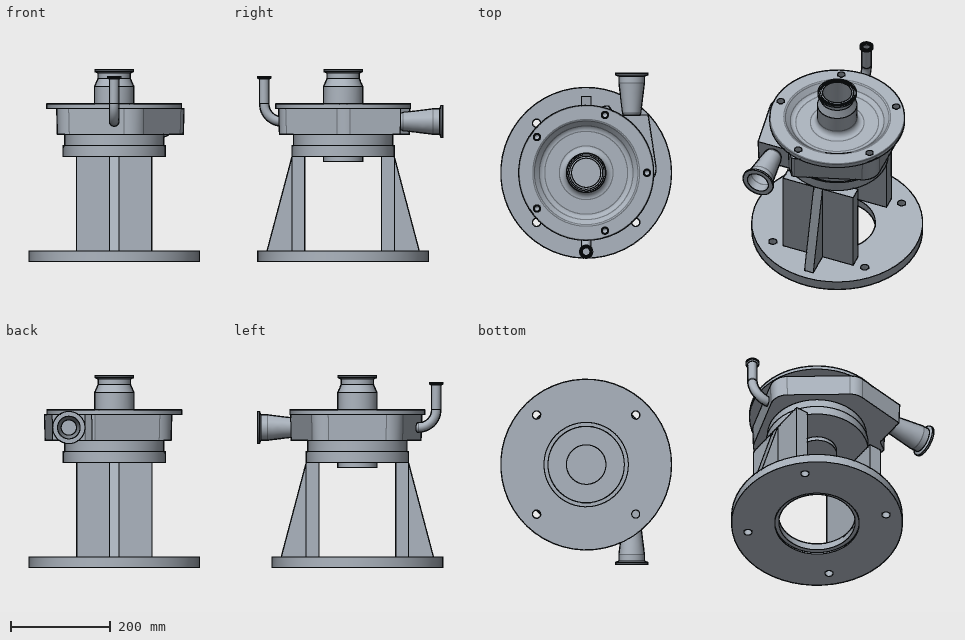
import cadquery as cq
import math

BASE_RADIUS = 171.5
BASE_THICKNESS = 21.5
BASE_BORE_RADIUS = 76.5
BASE_RECESS_RADIUS = 84.7
BASE_RECESS_DEPTH = 4.2
ANCHOR_COUNT = 4
ANCHOR_START_ANGLE = 45
ANCHOR_CIRCLE_RADIUS = 140.5
ANCHOR_HOLE_RADIUS = 8.0
LEG_WIDTH = 151.3
LEG_THICKNESS = 26.0
RIB_THICKNESS = 19.0
RIB_REACH = 50.0

COLLAR_BOTTOM = 210.5
COLLAR_TOP = 232.5
COLLAR_RADIUS = 102.8
NECK_RADIUS = 99.7
HUB_RADIUS = 39.5
HUB_DROP = 10.0

CASING_BOTTOM = 255.3
CASING_TOP = 307.0
CASING_APOTHEM = 115.5
CASING_CORNER_RADIUS = 35.0
CASING_TAPER = 1.5
CASING_NIB_Y = 134.0
SHOULDER_Y = 115.5
SHOULDER_X = 124.7
SHOULDER_SIDE_ANGLE = 8.5

COVER_TOP = 317.0
COVER_RADIUS = 135.5
COVER_EDGE_FILLET = 1.0
DISH_FLOOR_RADIUS = 83.0
DISH_FLOOR_FILLET = 15.5
DISH_WALL_ANGLE = 45
DISH_WALL_TOP_RADIUS = 104.0
DISH_RIM_FILLET = 4.5
COVER_HOLE_COUNT = 5
COVER_HOLE_CIRCLE_RADIUS = 122.0
COVER_HOLE_RADIUS = 7.5
COVER_HOLE_DEPTH = 15.5
COVER_PILOT_RADIUS = 5.5
COVER_PILOT_DEPTH = 19.2
COVER_PILOT_TIP_ANGLE = 30

NOZZLE_TOP = 385.0
NOZZLE_RADIUS = 39.5
NOZZLE_FOOT_FILLET = 14.2
NOZZLE_REDUCER_BOTTOM = 351.0
NOZZLE_REDUCER_TOP = 367.0
NOZZLE_NECK_RADIUS = 32.7
NOZZLE_BORE_RADIUS = 29.3
NOZZLE_FERRULE_RADIUS = 39.0
NOZZLE_GROOVE_INNER = 33.0
NOZZLE_GROOVE_OUTER = 36.0

DISCHARGE_X = 91.2
DISCHARGE_END_Y = 200.0
DISCHARGE_RADIUS = 25.8
DISCHARGE_CONE_START_Y = 120.0
DISCHARGE_CONE_END_Y = 180.0
DISCHARGE_CONE_RADIUS = 18.5
DISCHARGE_ROOT_RADIUS = 16.5
DISCHARGE_WALL = 3.0
DISCHARGE_FERRULE_RADIUS = 32.5

TUBE_Y = -158.2
TUBE_TOP = 371.0
TUBE_RADIUS = 9.5
TUBE_BORE_RADIUS = 7.7
TUBE_BEND_RADIUS = 35.8
TUBE_FERRULE_RADIUS = 13.3
TUBE_ROOT_Y = -107.8
TUBE_GROOVE_INNER = 9.2
TUBE_GROOVE_OUTER = 11.0

FERRULE_RIM = 4.0
FERRULE_TAPER = 2.7
TUBE_FERRULE_RIM = 3.0
TUBE_FERRULE_TAPER = 2.0
GASKET_GROOVE_DEPTH = 1.0

CASING_MID = (CASING_BOTTOM + CASING_TOP) / 2


def arc_step(radius, angle):
    """Radial and axial travel along an arc that starts out level and turns by the given angle."""
    turn = math.radians(angle)
    return radius * math.sin(turn), radius * (1 - math.cos(turn))


RIM_RUN, RIM_DROP = arc_step(DISH_RIM_FILLET, DISH_WALL_ANGLE)
FLOOR_RUN, FLOOR_RISE = arc_step(DISH_FLOOR_FILLET, DISH_WALL_ANGLE)
WALL_RUN = DISH_WALL_TOP_RADIUS - DISH_FLOOR_RADIUS - FLOOR_RUN
WALL_DROP = WALL_RUN * math.tan(math.radians(DISH_WALL_ANGLE))
DISH_RIM_RADIUS = DISH_WALL_TOP_RADIUS + RIM_RUN
DISH_FLOOR = COVER_TOP - RIM_DROP - WALL_DROP - FLOOR_RISE


def cylinder(radius, bottom, top):
    return cq.Workplane("XY", origin=(0, 0, bottom)).circle(radius).extrude(top - bottom)


def facet_point_at_y(facet_angle, y):
    """Point at the given y on the pentagon side whose normal has the given angle."""
    angle = math.radians(facet_angle)
    return ((CASING_APOTHEM - y * math.sin(angle)) / math.cos(angle), y)


def pentagon_corner(angle):
    reach = CASING_APOTHEM / math.cos(math.radians(36))
    return (reach * math.cos(math.radians(angle)), reach * math.sin(math.radians(angle)))


def make_stand():
    stand = cylinder(BASE_RADIUS, 0, BASE_THICKNESS)
    stand = stand.cut(cylinder(BASE_BORE_RADIUS, 0, BASE_THICKNESS))
    stand = stand.cut(cylinder(BASE_RECESS_RADIUS, 0, BASE_RECESS_DEPTH))
    anchors = (
        cq.Workplane("XY")
        .polarArray(ANCHOR_CIRCLE_RADIUS, ANCHOR_START_ANGLE, 360, ANCHOR_COUNT)
        .circle(ANCHOR_HOLE_RADIUS)
        .extrude(BASE_THICKNESS)
    )
    stand = stand.cut(anchors)

    height = COLLAR_BOTTOM - BASE_THICKNESS
    leg = (
        cq.Workplane("XY", origin=(0, COLLAR_RADIUS - LEG_THICKNESS / 2, BASE_THICKNESS))
        .rect(LEG_WIDTH, LEG_THICKNESS)
        .extrude(height)
    )
    rib = (
        cq.Workplane("YZ", origin=(-RIB_THICKNESS / 2, COLLAR_RADIUS, BASE_THICKNESS))
        .polyline([(0, 0), (RIB_REACH, 0), (0, height)])
        .close()
        .extrude(RIB_THICKNESS)
    )
    supported_side = leg.union(rib)
    return stand.union(supported_side).union(supported_side.mirror("XZ"))


def make_collar():
    collar = cylinder(HUB_RADIUS, COLLAR_BOTTOM - HUB_DROP, COLLAR_BOTTOM)
    collar = collar.union(cylinder(COLLAR_RADIUS, COLLAR_BOTTOM, COLLAR_TOP))
    return collar.union(cylinder(NECK_RADIUS, COLLAR_TOP, CASING_BOTTOM))


def make_casing():
    slope = math.tan(math.radians(SHOULDER_SIDE_ANGLE))
    side = math.radians(324)
    corner_y = (CASING_APOTHEM - (SHOULDER_X + SHOULDER_Y * slope) * math.cos(side)) / (
        math.sin(side) - slope * math.cos(side)
    )
    rounded_corners = [pentagon_corner(angle) for angle in (144, 216, 288)]
    rounded_corners.append(facet_point_at_y(324, corner_y))
    sharp_corners = [
        (SHOULDER_X, SHOULDER_Y),
        facet_point_at_y(36, SHOULDER_Y),
        facet_point_at_y(36, CASING_NIB_Y),
        facet_point_at_y(108, CASING_NIB_Y),
    ]
    height = CASING_TOP - CASING_BOTTOM
    top_plane = cq.Workplane("XY", origin=(0, 0, CASING_TOP))
    outline = top_plane.polyline(rounded_corners + sharp_corners).close()
    casing = outline.extrude(-height, taper=CASING_TAPER)
    for x, y in rounded_corners:
        nearest = cq.selectors.NearestToPointSelector((x, y, CASING_MID))
        casing = casing.edges("not #Z").edges(nearest).fillet(CASING_CORNER_RADIUS)
    return casing


def make_cover():
    cover = cylinder(COVER_RADIUS, CASING_TOP, COVER_TOP)
    return cover.faces(">Z").edges().fillet(COVER_EDGE_FILLET)


def make_dish():
    """Round cavity sunk through the cover into the casing."""
    rim_mid_run, rim_mid_drop = arc_step(DISH_RIM_FILLET, DISH_WALL_ANGLE / 2)
    floor_mid_run, floor_mid_rise = arc_step(DISH_FLOOR_FILLET, DISH_WALL_ANGLE / 2)
    rim_mid = (DISH_RIM_RADIUS - rim_mid_run, COVER_TOP - rim_mid_drop)
    floor_mid = (DISH_FLOOR_RADIUS + floor_mid_run, DISH_FLOOR + floor_mid_rise)
    return (
        cq.Workplane("XZ")
        .moveTo(0, DISH_FLOOR)
        .lineTo(DISH_FLOOR_RADIUS, DISH_FLOOR)
        .threePointArc(floor_mid, (DISH_FLOOR_RADIUS + FLOOR_RUN, DISH_FLOOR + FLOOR_RISE))
        .lineTo(DISH_WALL_TOP_RADIUS, COVER_TOP - RIM_DROP)
        .threePointArc(rim_mid, (DISH_RIM_RADIUS, COVER_TOP))
        .lineTo(0, COVER_TOP)
        .close()
        .revolve(360, (0, 0), (0, 1))
    )


def make_cover_holes():
    """Blind stepped holes with conical tips, evenly spaced around the cover."""
    step = COVER_TOP - COVER_HOLE_DEPTH
    pilot_bottom = COVER_TOP - COVER_PILOT_DEPTH
    tip = pilot_bottom - COVER_PILOT_RADIUS * math.tan(math.radians(COVER_PILOT_TIP_ANGLE))
    profile = [
        (0, tip),
        (COVER_PILOT_RADIUS, pilot_bottom),
        (COVER_PILOT_RADIUS, step),
        (COVER_HOLE_RADIUS, step),
        (COVER_HOLE_RADIUS, COVER_TOP),
        (0, COVER_TOP),
    ]
    hole = (
        cq.Workplane("XZ")
        .polyline(profile)
        .close()
        .revolve(360, (0, 0), (0, 1))
        .translate((COVER_HOLE_CIRCLE_RADIUS, 0, 0))
    )
    holes = hole
    for index in range(1, COVER_HOLE_COUNT):
        angle = index * 360 / COVER_HOLE_COUNT
        holes = holes.union(hole.rotate((0, 0, 0), (0, 0, 1), angle))
    return holes


def gasket_groove(y, top, inner_radius, outer_radius):
    return (
        cq.Workplane("XY", origin=(0, y, top))
        .circle(outer_radius)
        .circle(inner_radius)
        .extrude(-GASKET_GROOVE_DEPTH)
    )


def make_suction_nozzle():
    foot_run, foot_rise = arc_step(NOZZLE_FOOT_FILLET, 45)
    foot_radius = NOZZLE_RADIUS + NOZZLE_FOOT_FILLET
    rim_bottom = NOZZLE_TOP - FERRULE_RIM
    nozzle = (
        cq.Workplane("XZ")
        .moveTo(0, CASING_MID)
        .lineTo(foot_radius, CASING_MID)
        .lineTo(foot_radius, DISH_FLOOR)
        .threePointArc(
            (foot_radius - foot_run, DISH_FLOOR + foot_rise),
            (NOZZLE_RADIUS, DISH_FLOOR + NOZZLE_FOOT_FILLET),
        )
        .lineTo(NOZZLE_RADIUS, NOZZLE_REDUCER_BOTTOM)
        .lineTo(NOZZLE_NECK_RADIUS, NOZZLE_REDUCER_TOP)
        .lineTo(NOZZLE_NECK_RADIUS, rim_bottom - FERRULE_TAPER)
        .lineTo(NOZZLE_FERRULE_RADIUS, rim_bottom)
        .lineTo(NOZZLE_FERRULE_RADIUS, NOZZLE_TOP)
        .lineTo(0, NOZZLE_TOP)
        .close()
        .revolve(360, (0, 0), (0, 1))
    )
    return nozzle.cut(gasket_groove(0, NOZZLE_TOP, NOZZLE_GROOVE_INNER, NOZZLE_GROOVE_OUTER))


def make_discharge_nozzle():
    """Conical outlet turned about its own axis, with a matching blind bore."""
    rim_start = DISCHARGE_END_Y - FERRULE_RIM
    outside = [
        (0, 0),
        (DISCHARGE_ROOT_RADIUS, 0),
        (DISCHARGE_ROOT_RADIUS, SHOULDER_Y),
        (DISCHARGE_CONE_RADIUS, DISCHARGE_CONE_START_Y),
        (DISCHARGE_RADIUS, DISCHARGE_CONE_END_Y),
        (DISCHARGE_RADIUS, rim_start - FERRULE_TAPER),
        (DISCHARGE_FERRULE_RADIUS, rim_start),
        (DISCHARGE_FERRULE_RADIUS, DISCHARGE_END_Y),
        (0, DISCHARGE_END_Y),
    ]
    inside = [
        (0, DISCHARGE_CONE_START_Y),
        (DISCHARGE_CONE_RADIUS - DISCHARGE_WALL, DISCHARGE_CONE_START_Y),
        (DISCHARGE_RADIUS - DISCHARGE_WALL, DISCHARGE_CONE_END_Y),
        (DISCHARGE_RADIUS - DISCHARGE_WALL, DISCHARGE_END_Y),
        (0, DISCHARGE_END_Y),
    ]
    body, bore = [
        cq.Workplane("XY", origin=(DISCHARGE_X, 0, CASING_MID))
        .polyline(profile)
        .close()
        .revolve(360, (0, 0), (0, 1))
        for profile in (outside, inside)
    ]
    return body.cut(bore)


def make_drain_tube():
    """Tube that leaves the casing along -Y and turns upward to a small bored ferrule."""
    bend_start_y = TUBE_Y + TUBE_BEND_RADIUS
    bend_top = CASING_MID + TUBE_BEND_RADIUS
    bend_run, bend_rise = arc_step(TUBE_BEND_RADIUS, 45)
    path = (
        cq.Workplane("YZ")
        .moveTo(TUBE_ROOT_Y, CASING_MID)
        .lineTo(bend_start_y, CASING_MID)
        .threePointArc((bend_start_y - bend_run, CASING_MID + bend_rise), (TUBE_Y, bend_top))
        .lineTo(TUBE_Y, TUBE_TOP)
    )
    tube = cq.Workplane("XZ", origin=(0, TUBE_ROOT_Y, CASING_MID)).circle(TUBE_RADIUS).sweep(path)

    rim_bottom = TUBE_TOP - TUBE_FERRULE_RIM
    profile = [
        (0, rim_bottom - TUBE_FERRULE_TAPER),
        (TUBE_RADIUS, rim_bottom - TUBE_FERRULE_TAPER),
        (TUBE_FERRULE_RADIUS, rim_bottom),
        (TUBE_FERRULE_RADIUS, TUBE_TOP),
        (0, TUBE_TOP),
    ]
    ferrule = (
        cq.Workplane("XZ", origin=(0, TUBE_Y, 0))
        .polyline(profile)
        .close()
        .revolve(360, (0, 0), (0, 1))
    )
    bore = (
        cq.Workplane("XY", origin=(0, TUBE_Y, bend_top))
        .circle(TUBE_BORE_RADIUS)
        .extrude(TUBE_TOP - bend_top)
    )
    groove = gasket_groove(TUBE_Y, TUBE_TOP, TUBE_GROOVE_INNER, TUBE_GROOVE_OUTER)
    return tube.union(ferrule).cut(bore).cut(groove)


pump_body = make_casing().union(make_cover()).cut(make_dish()).cut(make_cover_holes())
pump_body = pump_body.union(make_suction_nozzle())
pump_body = pump_body.cut(cylinder(NOZZLE_BORE_RADIUS, CASING_MID, NOZZLE_TOP))

result = (
    make_stand()
    .union(make_collar())
    .union(pump_body)
    .union(make_discharge_nozzle())
    .union(make_drain_tube())
)